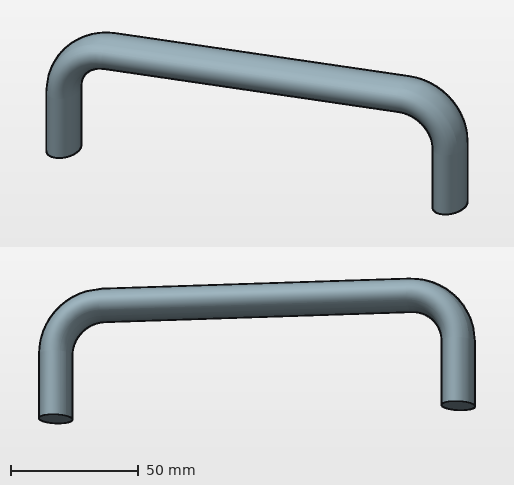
import cadquery as cq
import math

length = 172.9
height = 51.0

bar_thickness = 13.0
bar_width = 20.0

side_arc_end = 30.0
crown_arc_start = 53.5

bend_radius = 19.0

half_span = (length - bar_thickness) / 2
axis_height = height - bar_thickness / 2
bend_start_x = half_span - bend_radius
bend_start_z = axis_height - bend_radius
bend_mid_offset = bend_radius * math.sqrt(0.5)
bend_mid_x = bend_start_x + bend_mid_offset
bend_mid_z = bend_start_z + bend_mid_offset


def oval_point(angle):
    """Point on the oval, with the angle in degrees from its wide axis."""
    a = math.radians(angle)
    return (bar_thickness / 2 * math.sin(a), bar_width / 2 * math.cos(a))


def bar_section():
    """Eight-arc oval at the left foot: two sides, two crowns and four corners."""
    joints = [
        side_arc_end,
        crown_arc_start,
        180 - crown_arc_start,
        180 - side_arc_end,
        180 + side_arc_end,
        180 + crown_arc_start,
        360 - crown_arc_start,
        360 - side_arc_end,
    ]
    arc_ends = joints[1:] + [joints[0] + 360]
    section = cq.Workplane("XY").center(-half_span, 0).moveTo(*oval_point(joints[0]))
    for start, end in zip(joints, arc_ends):
        section = section.threePointArc(oval_point((start + end) / 2), oval_point(end))
    return section.close()


def handle_path():
    """Centre line from the left foot, over both bends, to the right foot."""
    return (
        cq.Workplane("XZ")
        .moveTo(-half_span, 0)
        .lineTo(-half_span, bend_start_z)
        .threePointArc((-bend_mid_x, bend_mid_z), (-bend_start_x, axis_height))
        .lineTo(bend_start_x, axis_height)
        .threePointArc((bend_mid_x, bend_mid_z), (half_span, bend_start_z))
        .lineTo(half_span, 0)
    )


result = bar_section().sweep(handle_path())